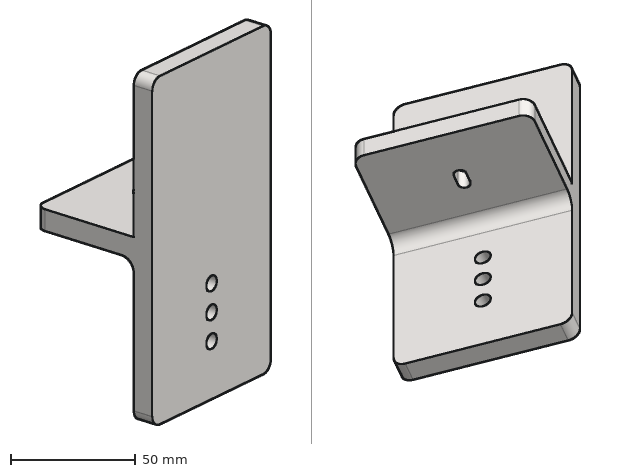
import cadquery as cq

plate_height = 152.4
plate_width = 76.2
overall_depth = 60.4
thickness = 9.6
corner_radius = 5.0
fillet_radius = 6.2
hole_diameter = 6.7
hole_pitch = 12.6
hole_count = 3
slot_length = 10.0
slot_width = 5.2

plate_front_x = -thickness
shelf_tip_x = -overall_depth
shelf_bottom_z = -thickness / 2
hole_group_z = -plate_height / 4
slot_x = (shelf_tip_x + plate_front_x) / 2


def upright_plate():
    """Vertical plate with four rounded corners."""
    return (
        cq.Workplane("XY")
        .box(thickness, plate_width, plate_height)
        .edges("|X")
        .fillet(corner_radius)
        .translate((-thickness / 2, 0, 0))
    )


def shelf():
    """Horizontal shelf at mid-height, rounded at its two free corners."""
    return (
        cq.Workplane("XY")
        .box(overall_depth, plate_width, thickness)
        .edges("|Z and <X")
        .fillet(corner_radius)
        .translate((-overall_depth / 2, 0, 0))
    )


def underside_fillet():
    """Concave fillet strip in the corner below the shelf."""
    return (
        cq.Workplane("XZ")
        .moveTo(plate_front_x, shelf_bottom_z)
        .lineTo(plate_front_x, shelf_bottom_z - fillet_radius)
        .radiusArc((plate_front_x - fillet_radius, shelf_bottom_z), -fillet_radius)
        .close()
        .extrude(plate_width / 2, both=True)
    )


def plate_holes():
    """Vertical row of through holes in the lower half of the plate."""
    return (
        cq.Workplane("YZ")
        .center(0, hole_group_z)
        .rarray(hole_pitch, hole_pitch, 1, hole_count)
        .circle(hole_diameter / 2)
        .extrude(-thickness)
    )


def shelf_slot():
    """Round-ended through slot in the middle of the shelf."""
    return (
        cq.Workplane("XY")
        .center(slot_x, 0)
        .slot2D(slot_length, slot_width)
        .extrude(thickness, both=True)
    )


bracket = upright_plate().union(shelf()).union(underside_fillet())
result = bracket.cut(plate_holes()).cut(shelf_slot())